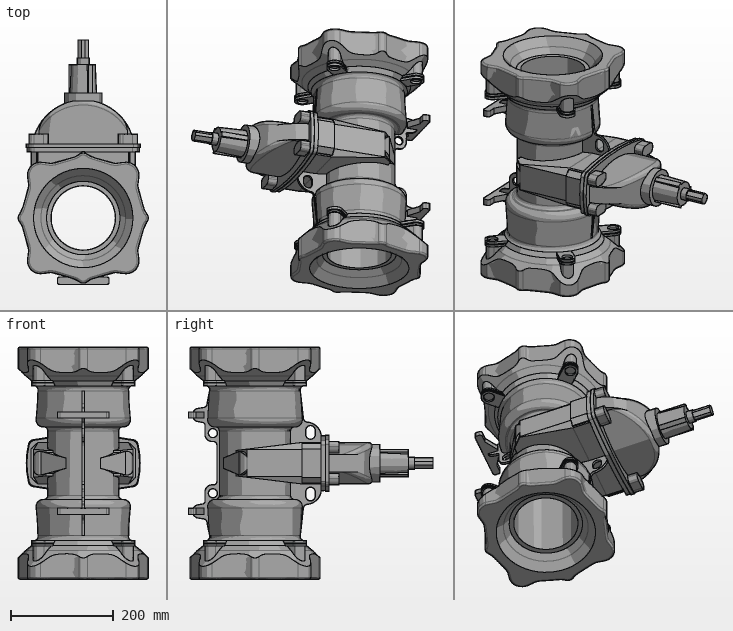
import cadquery as cq
import math


half_length = 225.5
bore_radius = 62.3
neck_radius = 69.5
neck_end_z = 70.5
socket_bottom_radius = 91.5
socket_bottom_z = 87.5
socket_top_radius = 88.5
socket_top_z = 140.0
mouth_radius = 96.5
mouth_mid_radius = 82.0
mouth_mid_depth = 16.5
seat_radius = 71.5
seat_depth = 28.5

tip_reach = 126.5
tip_radius = 13.0
tip_half_width = 8.0
corner_reach = 108.5
corner_radius = 25.0
cone_bottom_z = 169.0
cone_bottom_radius = 111.5
cone_top_radius = 152
collar_root_radius = 93.5
collar_root_z = 150.0
shoulder_radius = 100
shoulder_z = 159.5
collar_edge_fillet = 4.0

lug_offset = 85.0
lug_radius = 15.0
lug_bottom_z = 150.0
lug_top_z = 161.0
lug_groove_z = 155.5
lug_groove_height = 1.5
lug_groove_depth = 1.5
column_radius = 12.5
column_top_z = 204.5
lug_hole_radius = 10.5
lug_hole_depth = 4.8

web_thickness = 4.8
web_eye_y = -81.7
web_eye_z = 58.5
web_eye_radius = 8.5
web_slot_y = 108.0
web_slot_z = 60.0
web_slot_width = 18.0
web_slot_height = 26.0
foot_y = -129.5
foot_depth = 14.5
foot_length = 100.8
foot_corner_fillet = 4.8
foot_bottom_z = 87.5
foot_height = 12.5
foot_gusset_half_width = 31.0
foot_gusset_tip_y = -99.0

housing_top_z = 40.5
shell_side_z = 26.0
shell_top_x = 88.0
shell_end_x = 72.5
shell_end_y = -36.5
pad_half_width = 101.0
arm_half_width = 96.5
arm_half_height = 24.5
arm_edge_fillet = 11.0
arm_nose_y = -15.5
arm_shoulder_x = 81.7
arm_shoulder_y = -31.0
arm_tip_x = 33.7
arm_tip_y = -61.5
arm_tip_half_height = 10.0
pad_end_y = 91.5
pad_half_height = 27.5
pad_top_x = 91.2
pad_top_z = 38

flange_back_y = 128.5
flange_joint_y = 137.0
flange_front_y = 144.0
flange_half_width = 110.5
flange_half_height = 55.0
flange_corner_x = 104.5
flange_corner_z = 44.0
flange_corner_fillet = 12.0
flange_inset = 1.5

dome_radius = 100
dome_center_y = 129.5
dome_half_height = 40.5
dome_side_x = 85.5
dome_side_half_height = 17.0
dome_edge_fillet = 9.5
boss_inner_x = 68.0
boss_outer_x = 105.5
boss_inner_z = 20.0
boss_outer_z = 42.5
boss_front_y = 163.0
boss_fillet = 9.5

gland_radius = 36.5
gland_front_y = 243.0
sleeve_base_radius = 26.0
sleeve_end_radius = 24
sleeve_front_y = 298.0
sleeve_rib_reach = 28.0
sleeve_rib_width = 9.5
sleeve_rib_count = 3
stem_collar_radius = 12.0
stem_collar_front_y = 310.5
stem_radius = 10.7
stem_flat_width = 19
stem_end_y = 346.0


def along_y(start_y):
    """Workplane facing +Y whose local axes are (-X, Z)."""
    return cq.Workplane("XZ", origin=(0, start_y, 0)).transformed(rotate=(0, 180, 0))


def rod(radius, start_y, end_y):
    return along_y(start_y).circle(radius).extrude(end_y - start_y)


def mirrored_z(shape):
    return shape.union(shape.mirror("XY"))


def socket():
    """Solid upper half of the pipe with its bell-shaped socket."""
    outline = (
        cq.Workplane("XZ")
        .lineTo(neck_radius, 0)
        .lineTo(neck_radius, neck_end_z - 7.5)
        .threePointArc((neck_radius + 2.0, neck_end_z - 2.5), (neck_radius + 6.5, neck_end_z))
        .lineTo(socket_bottom_radius - 13.0, neck_end_z)
        .threePointArc((socket_bottom_radius - 3.0, 75.5), (socket_bottom_radius, socket_bottom_z))
        .lineTo(socket_top_radius, socket_top_z)
        .threePointArc((socket_top_radius + 1.0, 147.0), (collar_root_radius, collar_root_z))
        .lineTo(shoulder_radius, shoulder_z)
        .lineTo(shoulder_radius, half_length - 4.8)
        .lineTo(0, half_length - 4.8)
        .close()
    )
    return outline.revolve(360, (0, 0, 0), (0, 1, 0))


def star_quarter(sketch, turn):
    """Add one tip, flank, corner and second flank of the star, turned clockwise by quarter turns."""

    def at(x, y):
        for _ in range(turn):
            x, y = y, -x
        return x, y

    def flank(sketch, points, start_direction, end_direction):
        return sketch.spline(
            [at(*point) for point in points],
            tangents=[at(*start_direction), at(*end_direction)],
            includeCurrent=True,
        )

    slope = math.asin(tip_half_width / tip_radius)
    corner_start = corner_reach - corner_radius
    corner_mid = corner_start + corner_radius * math.sqrt(0.5)
    tip_end_y = tip_reach - tip_radius + math.sqrt(tip_radius**2 - tip_half_width**2)

    sketch = sketch.threePointArc(at(0, tip_reach), at(tip_half_width, tip_end_y))
    sketch = flank(
        sketch,
        [(22.0, 117.0), (44.0, 110.3), (62.5, 106.0), (corner_start, corner_reach)],
        (math.cos(slope), -math.sin(slope)),
        (1, 0),
    )
    sketch = sketch.threePointArc(at(corner_mid, corner_mid), at(corner_reach, corner_start))
    return flank(
        sketch,
        [(106.0, 62.5), (110.3, 44.0), (117.0, 22.0), (tip_end_y, tip_half_width)],
        (0, -1),
        (math.sin(slope), -math.cos(slope)),
    )


def collar():
    """Star-shaped collar with a conical underside."""
    tip_end_y = tip_reach - tip_radius + math.sqrt(tip_radius**2 - tip_half_width**2)
    sketch = cq.Workplane("XY", origin=(0, 0, shoulder_z)).moveTo(-tip_half_width, tip_end_y)
    for turn in range(4):
        sketch = star_quarter(sketch, turn)
    star = sketch.close().extrude(half_length - shoulder_z)
    star = star.faces(">Z").edges().fillet(collar_edge_fillet)
    cone = (
        cq.Workplane("XZ")
        .moveTo(0, shoulder_z)
        .lineTo(shoulder_radius, shoulder_z)
        .lineTo(cone_bottom_radius, cone_bottom_z)
        .lineTo(cone_top_radius, cone_bottom_z + cone_top_radius - cone_bottom_radius)
        .lineTo(cone_top_radius, half_length)
        .lineTo(0, half_length)
        .close()
        .revolve(360, (0, 0, 0), (0, 1, 0))
    )
    return star.intersect(cone)


def radial_slot(radius, bottom_z, top_z):
    """Round-ended block reaching from the pipe axis out along +X to the bolt centre."""
    reach = lug_offset * math.sqrt(2)
    height = top_z - bottom_z
    plane = cq.Workplane("XY", origin=(0, 0, bottom_z))
    end = plane.center(reach, 0).circle(radius).extrude(height)
    web = plane.center(reach / 2, 0).rect(reach, 2 * radius).extrude(height)
    return end.union(web)


def lugs():
    """Four bolt lugs on the diagonals, each on a column below the collar."""
    reach = lug_offset * math.sqrt(2)
    lug = radial_slot(lug_radius, lug_bottom_z, lug_groove_z)
    lug = lug.union(
        radial_slot(lug_radius - lug_groove_depth, lug_groove_z, lug_groove_z + lug_groove_height)
    )
    lug = lug.union(radial_slot(lug_radius, lug_groove_z + lug_groove_height, lug_top_z))
    lug = lug.union(radial_slot(column_radius, lug_top_z, column_top_z))
    hole = (
        cq.Workplane("XY", origin=(reach, 0, lug_bottom_z)).circle(lug_hole_radius).extrude(lug_hole_depth)
    )
    lug = lug.cut(hole)
    ring = lug.rotate((0, 0, 0), (0, 0, 1), 45)
    for turn in range(1, 4):
        ring = ring.union(lug.rotate((0, 0, 0), (0, 0, 1), 45 + 90 * turn))
    return ring


def bore():
    """Through bore with a two-step conical mouth at the upper end."""
    outline = (
        cq.Workplane("XZ")
        .lineTo(bore_radius, 0)
        .lineTo(bore_radius, half_length - seat_depth)
        .lineTo(seat_radius, half_length - seat_depth)
        .lineTo(mouth_mid_radius, half_length - mouth_mid_depth)
        .lineTo(mouth_radius, half_length)
        .lineTo(0, half_length)
        .close()
    )
    return outline.revolve(360, (0, 0, 0), (0, 1, 0))


def web():
    """Upper half of the thin plate in the YZ plane, with an eye and a slot."""
    plane = cq.Workplane("YZ")
    plate = (
        plane
        .lineTo(-74.0, 0)
        .lineTo(-74.0, 35.0)
        .threePointArc((-76, 40.0), (-80.5, 42.0))
        .threePointArc((-92.5, 45.5), (-97.5, 54.5))
        .lineTo(-97.5, 74.0)
        .threePointArc((-98.5, 77.5), (-101.5, 79.0))
        .lineTo(-111.5, 81)
        .threePointArc((-121.5, foot_bottom_z + foot_height / 2), (-111.5, 106.5))
        .lineTo(-100.8, 108.5)
        .threePointArc((-95, 110.5), (-93.0, 116.5))
        .lineTo(-socket_top_radius, socket_top_z)
        .lineTo(socket_top_radius, socket_top_z)
        .lineTo(94.0, 89.0)
        .threePointArc((97.5, 81.7), (104.0, 80.0))
        .threePointArc((123.5, 67.5), (flange_back_y, 42.5))
        .lineTo(flange_back_y, 0)
        .close()
        .extrude(web_thickness / 2, both=True)
    )
    eye = plane.center(web_eye_y, web_eye_z).circle(web_eye_radius).extrude(web_thickness, both=True)
    slot = (
        plane
        .center(web_slot_y, web_slot_z)
        .slot2D(web_slot_height, web_slot_width, 90)
        .extrude(web_thickness, both=True)
    )
    return plate.cut(eye).cut(slot)


def foot():
    """Rounded cross bar carried by the web, with a gusset back to it."""
    plane = cq.Workplane("XY", origin=(0, 0, foot_bottom_z))
    bar = plane.center(0, foot_y + foot_depth / 2).rect(foot_length, foot_depth).extrude(foot_height)
    bar = bar.edges("|Z").fillet(foot_corner_fillet)
    gusset_base_y = foot_y + foot_depth
    gusset = (
        plane
        .moveTo(-foot_gusset_half_width, gusset_base_y)
        .lineTo(foot_gusset_half_width, gusset_base_y)
        .lineTo(web_thickness, foot_gusset_tip_y)
        .lineTo(-web_thickness, foot_gusset_tip_y)
        .close()
        .extrude(foot_height)
    )
    return bar.union(gusset)


def mirrored_outline(plane, half_points):
    """Closed outline from points on one side of the local Y axis and their mirror images."""
    other_side = [(-x, y) for x, y in reversed(half_points)]
    return plane.polyline(half_points + other_side).close()


def side_wedge(height_points):
    """Slab across X whose half height follows the given (y, z) points."""
    other_side = [(y, -z) for y, z in reversed(height_points)]
    return (
        cq.Workplane("YZ").polyline(height_points + other_side).close().extrude(flange_half_width, both=True)
    )


def housing():
    """Gate housing tapering from the flange to the pipe, with a guide arm on each side."""
    depth = flange_half_height
    arm = (
        cq.Workplane("XY")
        .moveTo(0, flange_back_y)
        .lineTo(arm_half_width, flange_back_y)
        .lineTo(arm_half_width, arm_nose_y)
        .threePointArc((92.5, -24.5), (arm_shoulder_x, arm_shoulder_y))
        .lineTo(arm_tip_x, arm_tip_y)
        .lineTo(0, arm_tip_y + arm_tip_x)
        .close()
        .extrude(depth, both=True)
    )
    arm = arm.intersect(side_wedge([
        (flange_back_y, arm_half_height),
        (arm_shoulder_y, arm_half_height - 2.0),
        (arm_tip_y, arm_tip_half_height),
    ]))
    arm = arm.faces(">X").edges("not |Z").fillet(arm_edge_fillet)

    shell = mirrored_outline(cq.Workplane("XY"), [
        (arm_half_width, flange_back_y),
        (arm_half_width, arm_nose_y),
        (shell_end_x, shell_end_y),
    ]).extrude(depth, both=True)
    shell = shell.intersect(side_wedge([
        (flange_back_y, housing_top_z),
        (pad_end_y, housing_top_z),
        (shell_end_y, arm_half_height),
    ]))
    bevels = mirrored_outline(along_y(shell_end_y), [
        (shell_top_x, housing_top_z),
        (arm_half_width, shell_side_z),
        (arm_half_width, -shell_side_z),
        (shell_top_x, -housing_top_z),
    ]).extrude(flange_back_y - shell_end_y)
    shell = shell.intersect(bevels)

    pad_length = flange_back_y - pad_end_y
    pads = mirrored_outline(along_y(pad_end_y), [
        (pad_top_x, pad_top_z),
        (pad_half_width, pad_half_height),
        (pad_half_width, -pad_half_height),
        (pad_top_x, -pad_top_z),
    ]).extrude(pad_length)
    return arm.union(arm.mirror("YZ")).union(shell).union(pads)


def flange_plate(start_y, end_y, inset):
    """Flange plate with bowed sides and rounded corners."""
    x = flange_corner_x - inset
    z = flange_corner_z - inset
    bow_x = flange_half_width - inset
    bow_z = flange_half_height - inset
    return (
        along_y(start_y)
        .moveTo(-x, z)
        .threePointArc((0, bow_z), (x, z))
        .threePointArc((bow_x, 0), (x, -z))
        .threePointArc((0, -bow_z), (-x, -z))
        .threePointArc((-bow_x, 0), (-x, z))
        .close()
        .extrude(end_y - start_y)
        .edges("|Y")
        .fillet(flange_corner_fillet)
    )


def bonnet():
    """Dome with bulging faces, standing on the flange between four bolt bosses."""
    disc = (
        cq.Workplane("XY", origin=(0, dome_center_y, -dome_half_height))
        .circle(dome_radius)
        .extrude(2 * dome_half_height)
    )
    bulge = (
        along_y(flange_joint_y)
        .moveTo(-dome_radius, dome_side_half_height)
        .lineTo(-dome_side_x, dome_side_half_height)
        .threePointArc((0, dome_half_height), (dome_side_x, dome_side_half_height))
        .lineTo(dome_radius, dome_side_half_height)
        .lineTo(dome_radius, -dome_side_half_height)
        .lineTo(dome_side_x, -dome_side_half_height)
        .threePointArc((0, -dome_half_height), (-dome_side_x, -dome_side_half_height))
        .lineTo(-dome_radius, -dome_side_half_height)
        .close()
        .extrude(dome_radius)
    )
    dome = bulge.intersect(disc)
    rim = cq.selectors.BoxSelector((-85.0, dome_center_y + 24, -47.5), (85.0, 285, 47.5))
    dome = dome.edges(rim).fillet(dome_edge_fillet)
    dome = dome.union(flange_plate(flange_back_y, flange_joint_y, flange_inset))
    dome = dome.union(flange_plate(flange_joint_y, flange_front_y, 0))
    boss_length = boss_front_y - flange_joint_y
    for side_x in (-1, 1):
        for side_z in (-1, 1):
            boss = (
                along_y(flange_joint_y)
                .center(-side_x * (boss_inner_x + boss_outer_x) / 2, side_z * (boss_inner_z + boss_outer_z) / 2)
                .rect(boss_outer_x - boss_inner_x, boss_outer_z - boss_inner_z)
                .extrude(boss_length)
                .edges("|Y")
                .fillet(boss_fillet)
            )
            dome = dome.union(boss)
    return dome


def stem():
    """Gland, ribbed sleeve and flatted stem end along +Y."""
    gland = rod(gland_radius, dome_center_y + dome_half_height, gland_front_y)
    sleeve = (
        cq.Workplane("XY")
        .moveTo(0, gland_front_y)
        .lineTo(sleeve_base_radius, gland_front_y)
        .lineTo(sleeve_end_radius, sleeve_front_y)
        .lineTo(0, sleeve_front_y)
        .close()
        .revolve(360, (0, 0, 0), (0, 1, 0))
    )
    rib = (
        along_y(gland_front_y)
        .center(sleeve_rib_reach / 2, 0)
        .rect(sleeve_rib_reach, sleeve_rib_width)
        .extrude(sleeve_front_y - gland_front_y)
    )
    for index in range(sleeve_rib_count):
        sleeve = sleeve.union(rib.rotate((0, 0, 0), (0, 1, 0), index * 360 / sleeve_rib_count))
    flats = (
        along_y(stem_collar_front_y)
        .rect(stem_flat_width, stem_flat_width)
        .extrude(stem_end_y - stem_collar_front_y)
        .rotate((0, 0, 0), (0, 1, 0), 45)
    )
    end = rod(stem_radius, stem_collar_front_y, stem_end_y).intersect(flats)
    stem_collar = rod(stem_collar_radius, sleeve_front_y, stem_collar_front_y)
    return gland.union(sleeve).union(stem_collar).union(end)


upper_half = socket().union(collar()).union(lugs()).union(web()).union(foot())
body = mirrored_z(upper_half).union(housing()).union(bonnet()).union(stem())
result = body.cut(mirrored_z(bore()))